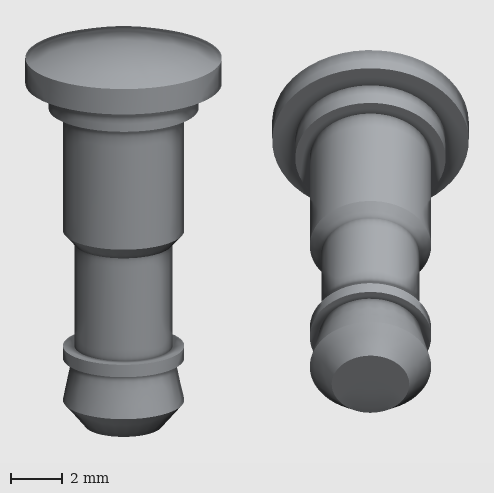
import cadquery as cq

total_height = 15.7
head_radius = 7.6 / 2

collar_radius = 5.81 / 2
body_radius = 4.7 / 2
neck_radius = 3.8 / 2
barb_waist_radius = 3.99 / 2
tip_radius = 3.0 / 2

tip_height = 1.0
barb_height = 1.71
ring_height = 0.5
neck_height = 4.19
shoulder_height = 0.5
body_height = 5.0
collar_height = 1.0
head_rim_height = 1.04

barb_bottom = tip_height
ring_bottom = barb_bottom + barb_height
ring_top = ring_bottom + ring_height
neck_top = ring_top + neck_height
body_bottom = neck_top + shoulder_height
body_top = body_bottom + body_height
head_bottom = body_top + collar_height
dome_bottom = head_bottom + head_rim_height

dome_height = total_height - dome_bottom
dome_radius = (head_radius**2 + dome_height**2) / (2 * dome_height)
dome_center = total_height - dome_radius
dome_mid_x = head_radius / 2
dome_mid_z = dome_center + (dome_radius**2 - dome_mid_x**2) ** 0.5

half_profile = (
    cq.Workplane("XZ")
    .moveTo(0, 0)
    .lineTo(tip_radius, 0)
    .lineTo(body_radius, barb_bottom)
    .lineTo(barb_waist_radius, ring_bottom)
    .lineTo(body_radius, ring_bottom)
    .lineTo(body_radius, ring_top)
    .lineTo(neck_radius, ring_top)
    .lineTo(neck_radius, neck_top)
    .lineTo(body_radius, body_bottom)
    .lineTo(body_radius, body_top)
    .lineTo(collar_radius, body_top)
    .lineTo(collar_radius, head_bottom)
    .lineTo(head_radius, head_bottom)
    .lineTo(head_radius, dome_bottom)
    .threePointArc((dome_mid_x, dome_mid_z), (0, total_height))
    .close()
)

result = half_profile.revolve(360, (0, 0, 0), (0, 1, 0))